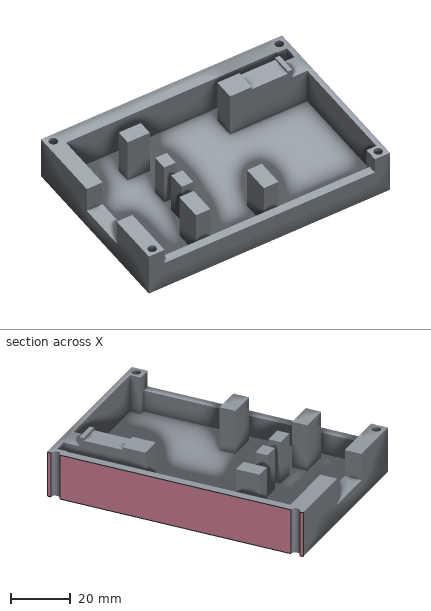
import cadquery as cq

length_x = 67.88
length_y = 95.46
rim_z = 17.0
floor_z = 3.0

left_wall = 5.9
right_wall = 3.2
front_wall = 6.2
back_wall = 2.05
right_wall_z = 11.0

post_depth = 5.95
left_post_width = 6.25
right_post_width = 5.3

hole_diameter = 3.2
hole_inset = 3.0
right_hole_inset = 2.7

notch_x = 28.85
notch_width = 18.8
notch_z = 7.0

tall_z = 20.5
medium_z = 19.5
short_z = 19.0
side_pillar_x = 51.8
side_pillar_width = 10.5
short_pillar_y = 26.4
short_pillar_depth = 4.55
pillars = [
    (side_pillar_x, 49.0, side_pillar_width, 5.85, medium_z),
    (side_pillar_x, 22.15, side_pillar_width, 5.7, tall_z),
    (14.25, 21.8, 5.65, 8.75, tall_z),
    (29.9, short_pillar_y, 5.65, short_pillar_depth, short_z),
    (39.95, short_pillar_y, 6.7, short_pillar_depth, short_z),
]

rib_x = 11.15
rib_width = 8.0
rib_front_y = 62.8
saddle_front_y = 71.5
saddle_back_y = 85.7
lip_back_y = 87.45
saddle_z = medium_z


def block(x, y, z, width, depth, height):
    """Box with its lower front-left corner at (x, y, z)."""
    return cq.Workplane("XY").box(width, depth, height, centered=False).translate((x, y, z))


def make_tray():
    cavity_width = length_x - left_wall - right_wall
    cavity_depth = length_y - front_wall - back_wall
    tray = block(0, 0, 0, length_x, length_y, rim_z)
    tray = tray.cut(block(left_wall, front_wall, floor_z, cavity_width, cavity_depth, rim_z))
    lowered_depth = length_y - front_wall - post_depth
    tray = tray.cut(
        block(length_x - right_wall, front_wall, right_wall_z, right_wall, lowered_depth, rim_z)
    )
    return tray.cut(block(notch_x, 0, notch_z, notch_width, front_wall, rim_z))


def add_back_posts(body):
    post_y = length_y - post_depth
    for x, width in ((0, left_post_width), (length_x - right_post_width, right_post_width)):
        body = body.union(block(x, post_y, 0, width, post_depth, rim_z))
    return body


def add_pillars(body):
    for x, y, width, depth, top_z in pillars:
        body = body.union(block(x, y, 0, width, depth, top_z))
    return body


def add_cradle_rib(body):
    profile = [
        (rib_front_y, 0),
        (rib_front_y, tall_z),
        (saddle_front_y, tall_z),
        (saddle_front_y, saddle_z),
        (saddle_back_y, saddle_z),
        (saddle_back_y, tall_z),
        (lip_back_y, tall_z),
        (lip_back_y, rim_z),
        (length_y, rim_z),
        (length_y, 0),
    ]
    rib = cq.Workplane("YZ").workplane(offset=rib_x).polyline(profile).close().extrude(rib_width)
    return body.union(rib)


def drill_corner_holes(body):
    centers = [
        (x, y)
        for x in (hole_inset, length_x - right_hole_inset)
        for y in (hole_inset, length_y - hole_inset)
    ]
    holes = cq.Workplane("XY").pushPoints(centers).circle(hole_diameter / 2).extrude(rim_z)
    return body.cut(holes)


result = make_tray()
result = add_back_posts(result)
result = add_pillars(result)
result = add_cradle_rib(result)
result = drill_corner_holes(result)